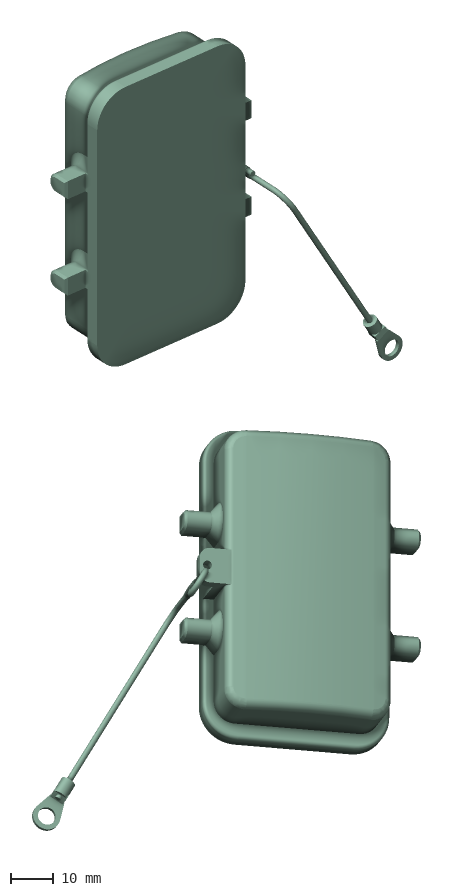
import cadquery as cq
import math


flange_width = 45.1
flange_height = 76.5
flange_depth = 4.2
flange_corner = 8.5
flange_round = 0.9
body_width = 40.1
body_height = 69.0
body_corner = 5.0
body_depth = 17.8
dome_sag = 2.0
front_round = 2.0

peg_span = 57.1
peg_width = 4.95
peg_back = 4.3
peg_axis_depth = 8.1
peg_z = 13.3
peg_chamfer = 0.6
root_width = 9.7
root_span = 44.1
root_back = flange_depth - flange_round

tab_reach = 26.4
tab_height = 8.5
tab_front = 15.9
tab_thickness = 3.0
tab_corner = 2.4
tab_hole_y = 24.6
tab_hole_diameter = 2.1

cord_tilt = 30
cord_start_y = 24.12
cord_diameter = 1.5
cord_gap = 2.0
tail_run = 1.5
main_run = tail_run + cord_gap
loop_top_run = 7.7
loop_radius = (loop_top_run - tail_run) / 2
loop_tip_depth = 17.6
loop_axis_depth = loop_tip_depth - loop_radius
bend_start_x = 6.1
bend_radius = 4.95
drop_x = bend_start_x + bend_radius

ferrule_front = 6.8
ferrule_back = 1.9
ferrule_wall = 0.15

barrel_run = 54.3
barrel_length = 4.2
barrel_diameter = 3.6
ring_run = 64.1
ring_diameter = 6.6
ring_hole_diameter = 4.3
tongue_width = 3.9
plate_front_x = 12.1
plate_thickness = 1.1
neck_length = 1.0
neck_width = 3.5
cord_stub = 0.9

barrel_end = barrel_run + barrel_length


def make_flange():
    plate = cq.Workplane("YZ").rect(flange_width, flange_height).extrude(-flange_depth)
    return plate.edges("|X").fillet(flange_corner).faces("<X").edges().fillet(flange_round)


def make_body():
    half_width = body_width / 2
    edge_depth = body_depth - dome_sag
    body = (
        cq.Workplane("XY")
        .moveTo(0, -half_width)
        .lineTo(-edge_depth, -half_width)
        .threePointArc((-body_depth, 0), (-edge_depth, half_width))
        .lineTo(0, half_width)
        .close()
        .extrude(body_height / 2, both=True)
    )
    return body.edges("|X").fillet(body_corner).faces("<X").edges().fillet(front_round)


def d_profile(y, z, width, back):
    """D outline on a plane of constant Y: round towards -X, flat at the back."""
    half = width / 2
    return (
        cq.Workplane("XZ", origin=(0, y, z))
        .moveTo(-back, -half)
        .lineTo(-peg_axis_depth, -half)
        .threePointArc((-peg_axis_depth - half, 0), (-peg_axis_depth, half))
        .lineTo(-back, half)
        .close()
    )


def make_peg(z):
    """One peg on the -Y side with its flared root."""
    body_side = -body_width / 2
    peg = d_profile(body_side, z, peg_width, peg_back).extrude(peg_span / 2 + body_side)
    peg = peg.faces("<Y").edges().chamfer(peg_chamfer)
    foot = d_profile(body_side, z, peg_width, root_back).extrude(flange_width / 2 + body_side)
    flare_length = root_span / 2 + body_side
    flare_angle = math.degrees(math.atan((root_width - peg_width) / 2 / flare_length))
    flare = d_profile(body_side, z, root_width, root_back - flare_length)
    flare = flare.extrude(flare_length, taper=flare_angle)
    ahead_of_root = (
        cq.Workplane("YZ", origin=(-root_back, 0, 0))
        .rect(flange_width, flange_height)
        .extrude(-body_depth)
    )
    return peg.union(foot).union(flare.intersect(ahead_of_root))


def tab_blank(thickness, reach):
    return (
        cq.Workplane("YZ", origin=(-tab_front, 0, 0))
        .rect(2 * reach, tab_height)
        .extrude(thickness)
    )


def make_tab():
    """Holed tab with a block behind it that reaches back to the flange."""
    tab = tab_blank(tab_thickness, tab_reach).edges("|X and >Y").fillet(tab_corner)
    hole = (
        cq.Workplane("YZ", origin=(-tab_front, tab_hole_y, 0))
        .circle(tab_hole_diameter / 2)
        .extrude(tab_thickness)
    )
    block = tab_blank(tab_front, flange_width / 2)
    near_half = (
        cq.Workplane("XZ")
        .rect(2 * tab_front, tab_height)
        .extrude(-tab_reach)
    )
    return tab.cut(hole).union(block).intersect(near_half)


def make_cord():
    loop_mid_run = tail_run + loop_radius
    diagonal = bend_radius * math.sqrt(0.5)
    path = (
        cq.Workplane("XY")
        .moveTo(0, tail_run)
        .lineTo(-loop_axis_depth, tail_run)
        .threePointArc((-loop_tip_depth, loop_mid_run), (-loop_axis_depth, loop_top_run))
        .spline([(-ferrule_front, main_run)], tangents=[(1, 0), (1, 0)], includeCurrent=True)
        .lineTo(bend_start_x, main_run)
        .threePointArc(
            (bend_start_x + diagonal, main_run + bend_radius - diagonal),
            (drop_x, main_run + bend_radius),
        )
        .lineTo(drop_x, barrel_end + cord_stub)
    )
    return cq.Workplane("YZ", origin=(0, tail_run, 0)).circle(cord_diameter / 2).sweep(path)


def make_ferrule():
    width = cord_diameter + 2 * ferrule_wall
    return (
        cq.Workplane("YZ", origin=(-ferrule_front, (tail_run + main_run) / 2, 0))
        .slot2D(cord_gap + width, width)
        .extrude(ferrule_front - ferrule_back)
    )


def make_terminal():
    barrel = (
        cq.Workplane("XZ", origin=(drop_x, barrel_run, 0))
        .circle(barrel_diameter / 2)
        .extrude(-barrel_length)
    )
    plate_start = barrel_end + neck_length / 2
    plate_plane = cq.Workplane("YZ", origin=(plate_front_x, 0, 0))
    ring_radius = ring_diameter / 2
    reach = ring_run - plate_start
    corner_distance = math.hypot(reach, tongue_width / 2)
    tangent_angle = math.acos(ring_radius / corner_distance) + math.atan2(tongue_width / 2, reach)
    tangent_run = ring_run - ring_radius * math.cos(tangent_angle)
    tangent_side = ring_radius * math.sin(tangent_angle)
    tongue = plate_plane.polyline(
        [
            (plate_start, -tongue_width / 2),
            (tangent_run, -tangent_side),
            (tangent_run, tangent_side),
            (plate_start, tongue_width / 2),
        ]
    ).close().extrude(plate_thickness)
    ring = plate_plane.center(ring_run, 0).circle(ring_radius).extrude(plate_thickness)
    hole = plate_plane.center(ring_run, 0).circle(ring_hole_diameter / 2).extrude(plate_thickness)
    plate_back_x = plate_front_x + plate_thickness
    neck_front_x = drop_x - barrel_diameter / 4
    barrel_back_x = drop_x + barrel_diameter / 2
    neck = (
        cq.Workplane("XY")
        .polyline(
            [
                (neck_front_x, barrel_end - neck_length),
                (neck_front_x, barrel_end),
                (plate_front_x, barrel_end + neck_length),
                (plate_back_x, barrel_end + neck_length),
                (plate_back_x, plate_start),
                (barrel_back_x, barrel_end - neck_length),
            ]
        )
        .close()
        .extrude(neck_width / 2, both=True)
    )
    return barrel.union(neck).union(tongue.union(ring).cut(hole))


def make_cord_assembly():
    flat = make_cord().union(make_ferrule()).union(make_terminal())
    tilted = flat.rotate((0, 0, 0), (1, 0, 0), cord_tilt - 90)
    return tilted.translate((0, cord_start_y, 0))


result = make_flange().union(make_body())
for z in (-peg_z, peg_z):
    peg = make_peg(z)
    result = result.union(peg).union(peg.mirror("XZ"))
result = result.union(make_tab()).union(make_cord_assembly())